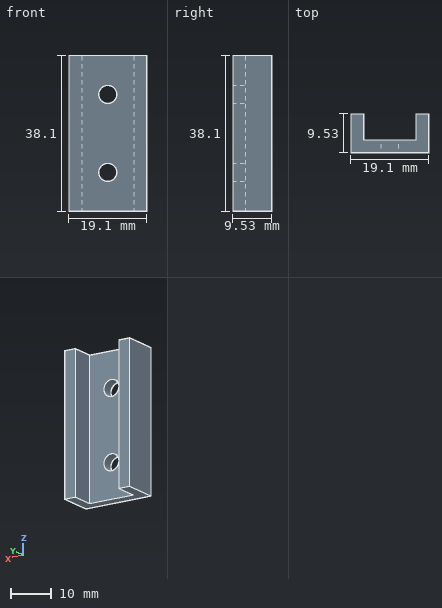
import cadquery as cq

height = 38.1
width = height / 2
depth = height / 4

wall = 3.15
hole_diameter = 4.35
hole_spacing = height / 2


def channel():
    """U-shaped channel along Z, open toward +Y, with its web on the -Y side."""
    block = cq.Workplane("XY").box(width, depth, height)
    groove = cq.Workplane("XY").box(width - 2 * wall, depth, height).translate((0, wall, 0))
    return block.cut(groove)


def web_holes():
    """Two cylinders along Y that pass through the web."""
    return (
        cq.Workplane("XZ")
        .rarray(0.4, hole_spacing, 1, 2)
        .circle(hole_diameter / 2)
        .extrude(depth, both=True)
    )


result = channel().cut(web_holes())